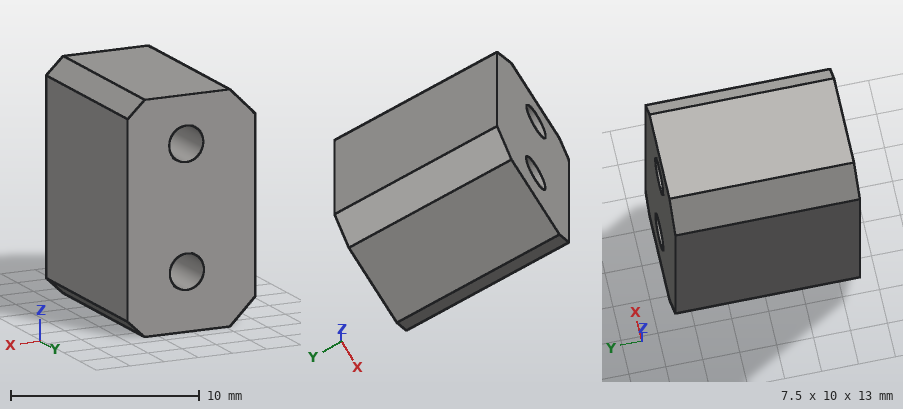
import cadquery as cq

width = 7.5
depth = 10.0
height = 13.0

left_bevel = 1.5
right_bevel_width = 1.0
right_bevel_height = 0.95

hole_diameter = 2.0
upper_hole = (0.31, 3.81)
lower_hole = (0.27, -3.2)

half_width = width / 2
half_height = height / 2


def bevelled_block():
    """Octagonal XZ profile extruded symmetrically along Y."""
    outline = [
        (-half_width + left_bevel, -half_height),
        (half_width - right_bevel_width, -half_height),
        (half_width, -half_height + right_bevel_height),
        (half_width, half_height - right_bevel_height),
        (half_width - right_bevel_width, half_height),
        (-half_width + left_bevel, half_height),
        (-half_width, half_height - left_bevel),
        (-half_width, -half_height + left_bevel),
    ]
    return cq.Workplane("XZ").polyline(outline).close().extrude(depth / 2, both=True)


def through_holes():
    """Cylinders that cut both holes through the full depth."""
    return (
        cq.Workplane("XZ")
        .pushPoints([upper_hole, lower_hole])
        .circle(hole_diameter / 2)
        .extrude(depth / 2, both=True)
    )


result = bevelled_block().cut(through_holes())